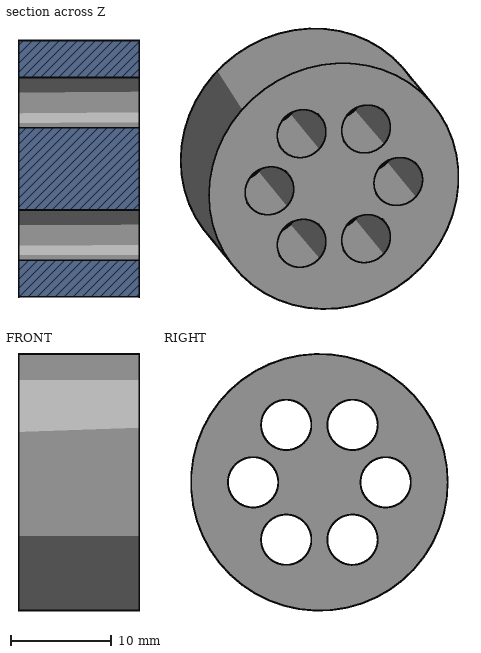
import cadquery as cq

disc_diameter = 25.6
disc_thickness = 12.0
hole_diameter = 5.0
hole_count = 6
hole_circle_diameter = 13.2

disc = cq.Workplane("YZ").circle(disc_diameter / 2).extrude(disc_thickness)

result = (
    disc.faces(">X")
    .workplane(centerOption="CenterOfBoundBox")
    .polarArray(hole_circle_diameter / 2, 0, 360, hole_count)
    .hole(hole_diameter)
)